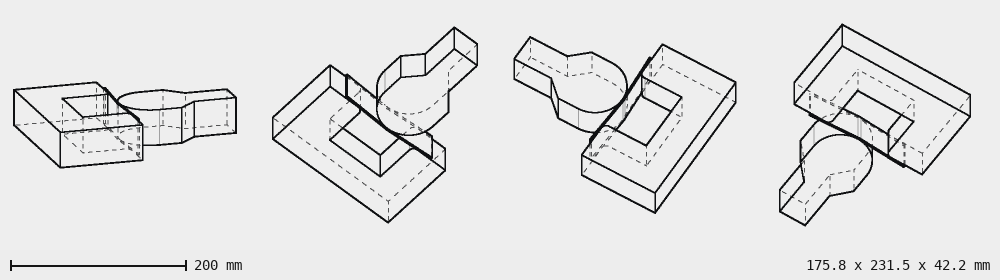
import cadquery as cq
import math

total_length = 231.5
thickness_z = 42.2

die_width = 175.8
die_depth = 98.2
slot_width = 77.0
slot_depth = 56.0
shoulder_radius = 6.5

body_width = 73.0
nose_radius = body_width / 2
stem_width = 35.0
stem_length = 49.5
taper_length = 20.8

strip_thickness = 2.0
strip_length = 130.2
bend_angle = math.radians(3.2)

outer_bend_radius = nose_radius + strip_thickness
shoulder_x = slot_width / 2 + shoulder_radius
shoulder_y = die_depth - shoulder_radius
nose_y = (
    shoulder_y
    - shoulder_x * math.tan(bend_angle)
    + (outer_bend_radius + shoulder_radius) / math.cos(bend_angle)
)


def make_die():
    """Block with an open slot whose two mouth edges are rounded."""
    slot_floor = die_depth - slot_depth
    block = cq.Workplane("XY").rect(die_width, die_depth).extrude(thickness_z)
    block = block.translate((0, die_depth / 2, 0))
    slot = cq.Workplane("XY").rect(slot_width, slot_depth).extrude(thickness_z)
    slot = slot.translate((0, slot_floor + slot_depth / 2, 0))
    mouth_edges = cq.selectors.BoxSelector(
        (-shoulder_x, shoulder_y, 0), (shoulder_x, die_depth + shoulder_radius, thickness_z)
    )
    return block.cut(slot).edges("|Z").edges(mouth_edges).fillet(shoulder_radius)


def make_punch():
    """Narrow stem that widens through a taper into a body with a half-round nose."""
    stem_end = total_length - stem_length
    taper_end = stem_end - taper_length
    return (
        cq.Workplane("XY")
        .moveTo(-nose_radius, nose_y)
        .threePointArc((0, nose_y - nose_radius), (nose_radius, nose_y))
        .lineTo(nose_radius, taper_end)
        .lineTo(stem_width / 2, stem_end)
        .lineTo(stem_width / 2, total_length)
        .lineTo(-stem_width / 2, total_length)
        .lineTo(-stem_width / 2, stem_end)
        .lineTo(-nose_radius, taper_end)
        .close()
        .extrude(thickness_z)
    )


def arm_point(side, radius, distance):
    """Point on an arm face, at a distance along the arm from its tangent point."""
    x = radius * math.sin(bend_angle) + distance * math.cos(bend_angle)
    y = nose_y - radius * math.cos(bend_angle) + distance * math.sin(bend_angle)
    return (side * x, y)


def make_strip():
    """Thin strip: a short arc around the punch nose and two straight rising arms."""
    middle_radius = nose_radius + strip_thickness / 2
    arm_length = strip_length / 2 - middle_radius * bend_angle
    left, right = -1, 1
    return (
        cq.Workplane("XY")
        .moveTo(*arm_point(left, outer_bend_radius, arm_length))
        .lineTo(*arm_point(left, outer_bend_radius, 0))
        .threePointArc((0, nose_y - outer_bend_radius), arm_point(right, outer_bend_radius, 0))
        .lineTo(*arm_point(right, outer_bend_radius, arm_length))
        .lineTo(*arm_point(right, nose_radius, arm_length))
        .lineTo(*arm_point(right, nose_radius, 0))
        .threePointArc((0, nose_y - nose_radius), arm_point(left, nose_radius, 0))
        .lineTo(*arm_point(left, nose_radius, arm_length))
        .close()
        .extrude(thickness_z)
    )


die = make_die()
punch = make_punch()
strip = make_strip()

result = cq.Compound.makeCompound([die.solids().val(), punch.val(), strip.val()])